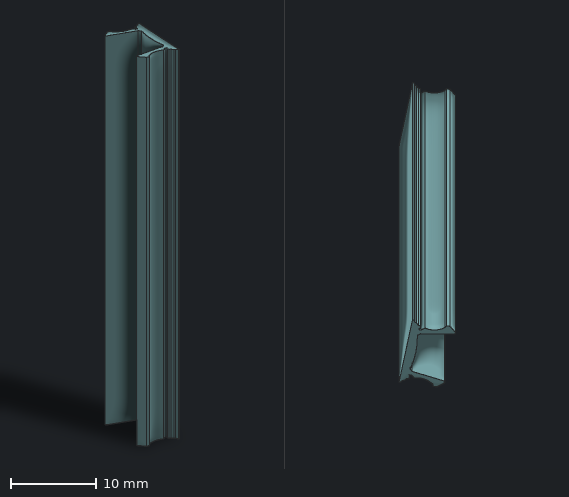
import cadquery as cq
import math

length = 50.0
width = 9.0
height = 5.3

half_width = width / 2
top = height / 2
bottom = -height / 2

rim_thickness = 0.15
first_step_x, first_step_depth = 4.2, 0.35
first_step_foot_x, first_step_foot_depth = 4.15, 0.55
second_step_x, second_step_depth = 3.85, 0.8
second_step_foot_x, second_step_foot_depth = 3.8, 1.05
lip_x, lip_depth = 3.55, 1.1
plate_middle_thickness = 1.2
plate_inner_thickness = 0.95
underside_end_x = 2.4
bow_sag = plate_middle_thickness - plate_inner_thickness
bow_radius = (underside_end_x**2 + bow_sag**2) / (2 * bow_sag)
bow_angle = math.asin(underside_end_x / bow_radius)
bow_centre_y = top - plate_middle_thickness + bow_radius
bow_middle_x = bow_radius * math.sin(bow_angle / 2)
bow_middle_y = bow_centre_y - bow_radius * math.cos(bow_angle / 2)

groove_x, groove_depth = 3.25, 1.0
groove_foot_depth = 1.25
flank_start_x, flank_start_depth = 3.6, 1.65
flank_middle_x, flank_middle_depth = 3.55, 2.9
barb_root_x, barb_root_depth = 4.1, 3.95
barb_x = 4.35
barb_start_depth = 4.05
barb_end_depth = 4.5
foot_outer_x, foot_outer_depth = 3.7, 5.2
foot_tip_x = 3.55
foot_inner_x, foot_inner_depth = 3.35, 5.1
leg_root_x, leg_root_depth = 2.7, 1.25


def half_profile():
    """Right half of the cross-section, closed along the symmetry line."""
    return (
        cq.Workplane("XY")
        .moveTo(0, top)
        .lineTo(half_width, top)
        .lineTo(half_width, top - rim_thickness)
        .lineTo(first_step_x, top - first_step_depth)
        .lineTo(first_step_foot_x, top - first_step_foot_depth)
        .lineTo(second_step_x, top - second_step_depth)
        .lineTo(second_step_foot_x, top - second_step_foot_depth)
        .lineTo(lip_x, top - lip_depth)
        .lineTo(groove_x, top - groove_depth)
        .lineTo(groove_x, top - groove_foot_depth)
        .lineTo(flank_start_x, top - flank_start_depth)
        .threePointArc(
            (flank_middle_x, top - flank_middle_depth),
            (barb_root_x, top - barb_root_depth),
        )
        .lineTo(barb_x, top - barb_start_depth)
        .lineTo(barb_x, top - barb_end_depth)
        .lineTo(foot_outer_x, top - foot_outer_depth)
        .threePointArc((foot_tip_x, bottom), (foot_inner_x, top - foot_inner_depth))
        .lineTo(leg_root_x, top - leg_root_depth)
        .lineTo(underside_end_x, top - plate_inner_thickness)
        .threePointArc(
            (bow_middle_x, bow_middle_y),
            (0, top - plate_middle_thickness),
        )
        .close()
    )


right_half = half_profile().extrude(length)
result = right_half.union(right_half.mirror("YZ")).clean()